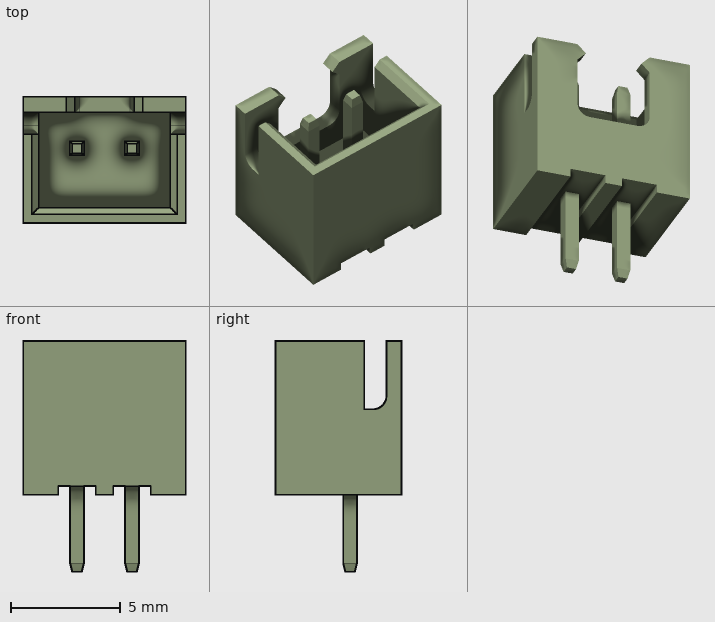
import cadquery as cq

housing_length = 7.4
housing_width = 5.75
housing_height = 7.0
wall = 0.7
floor_thickness = 2.0
pin_to_front = 3.4
front_y = -pin_to_front
back_y = front_y + housing_width

lead_in_width = 0.3
lead_in_depth = 0.3

side_slot_width = 1.0
side_slot_depth = 3.1
slot_radius = 0.6

back_slot_width = 3.5
back_slot_depth = 3.7
hook_reach = 0.4

channel_width = 1.7
channel_depth = 0.4

pin_pitch = 2.5
pin_size = 0.64
pin_tip_length = 0.4
pin_tip_inset = 0.1
pin_tail = 3.5
pin_top_gap = 0.5
pin_positions = [-pin_pitch / 2, pin_pitch / 2]


def box(x_min, x_max, y_min, y_max, z_min, z_max):
    """Axis-aligned box between the given limits."""
    size = (x_max - x_min, y_max - y_min, z_max - z_min)
    return cq.Workplane("XY").box(*size, centered=False).translate((x_min, y_min, z_min))


def make_shell():
    half_length = housing_length / 2
    half_cavity = half_length - wall
    outer = box(-half_length, half_length, front_y, back_y, 0, housing_height)
    cavity = box(-half_cavity, half_cavity, front_y + wall, back_y - wall, floor_thickness, housing_height)
    return outer.cut(cavity)


def make_lead_in():
    """Frustum widening the mouth; its back side stays flush with the back wall."""
    cavity_length = housing_length - 2 * wall
    cavity_front = front_y + wall
    cavity_back = back_y - wall
    cavity_width = cavity_back - cavity_front
    mouth_length = cavity_length + 2 * lead_in_width
    mouth_width = cavity_width + lead_in_width
    return (
        cq.Workplane("XY", origin=(0, 0, housing_height - lead_in_depth))
        .center(0, cavity_back - cavity_width / 2)
        .rect(cavity_length, cavity_width)
        .workplane(offset=lead_in_depth)
        .center(0, -lead_in_width / 2)
        .rect(mouth_length, mouth_width)
        .loft(ruled=True)
    )


def make_side_slots():
    """Slot across both side walls, rounded at the bottom next to the back wall."""
    half_length = housing_length / 2
    slot_back = back_y - wall
    slot = box(
        -half_length,
        half_length,
        slot_back - side_slot_width,
        slot_back,
        housing_height - side_slot_depth,
        housing_height,
    )
    return slot.edges("|X and >Y and <Z").fillet(slot_radius)


def make_back_slot():
    half_width = back_slot_width / 2
    slot = box(
        -half_width,
        half_width,
        back_y - wall,
        back_y,
        housing_height - back_slot_depth,
        housing_height,
    )
    return slot.edges("|Y and <Z").fillet(slot_radius)


def make_hook(side):
    """Triangular latch hook on one side (-1 or 1) of the back slot."""
    root_x = side * back_slot_width / 2
    tip_x = root_x - side * hook_reach
    outline = [
        (root_x, housing_height),
        (tip_x, housing_height - hook_reach),
        (root_x, housing_height - 2 * hook_reach),
    ]
    return cq.Workplane("XZ", origin=(0, back_y, 0)).polyline(outline).close().extrude(wall)


def make_channel(x):
    half_width = channel_width / 2
    return box(x - half_width, x + half_width, front_y, back_y, 0, channel_depth)


def make_pin_tip(x, base_z, top_z, base_size, top_size):
    return (
        cq.Workplane("XY", origin=(x, 0, base_z))
        .rect(base_size, base_size)
        .workplane(offset=top_z - base_z)
        .rect(top_size, top_size)
        .loft(ruled=True)
    )


def make_pin(x):
    """Square pin, tapered at both ends."""
    half_size = pin_size / 2
    tip_size = pin_size - 2 * pin_tip_inset
    top_z = housing_height - pin_top_gap
    shank_top = top_z - pin_tip_length
    shank_bottom = -pin_tail + pin_tip_length
    shank = box(x - half_size, x + half_size, -half_size, half_size, shank_bottom, shank_top)
    upper_tip = make_pin_tip(x, shank_top, top_z, pin_size, tip_size)
    lower_tip = make_pin_tip(x, -pin_tail, shank_bottom, tip_size, pin_size)
    return shank.union(upper_tip).union(lower_tip)


result = make_shell().cut(make_lead_in()).cut(make_side_slots()).cut(make_back_slot())

for side in (-1, 1):
    result = result.union(make_hook(side))

for pin_x in pin_positions:
    result = result.cut(make_channel(pin_x))
    result = result.union(make_pin(pin_x))